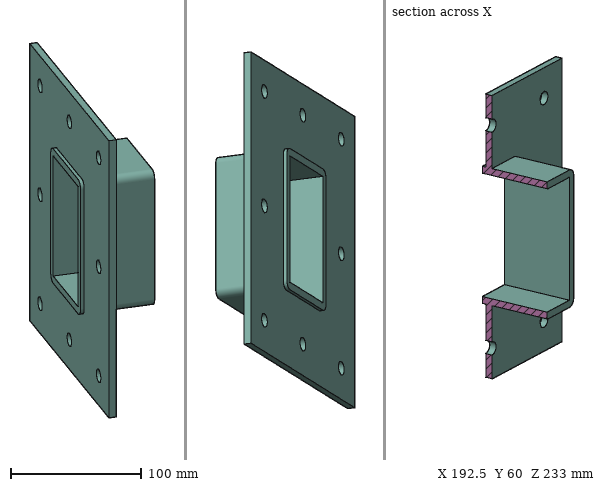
import cadquery as cq

bore_width = 60.5
bore_height = 101.0
tube_wall = 6.0
tube_corner_radius = tube_wall
tube_width = bore_width + 2 * tube_wall
tube_height = bore_height + 2 * tube_wall
tube_length = 60.0
tube_front_projection = 3.0

flange_margin = 60.0
plate_width = tube_width + 2 * flange_margin
plate_height = tube_height + 2 * flange_margin
plate_thickness = 6.0

hole_diameter = 10.5
hole_edge_distance = 25.0
hole_pitch_x = plate_width / 2 - hole_edge_distance
hole_pitch_z = plate_height / 2 - hole_edge_distance

tube_front_y = 0.0
plate_front_y = tube_front_y + tube_front_projection


def block(width, height, length, front_y):
    """Box centred on the Y axis, running from front_y towards +Y."""
    box = cq.Workplane("XY").box(width, length, height, centered=(True, False, True))
    return box.translate((0, front_y, 0))


def make_plate():
    return block(plate_width, plate_height, plate_thickness, plate_front_y)


def make_tube_outside():
    outside = block(tube_width, tube_height, tube_length, tube_front_y)
    return outside.edges("|Y").fillet(tube_corner_radius)


def make_bore():
    return block(bore_width, bore_height, tube_length, tube_front_y)


def make_bolt_holes():
    centres = [
        (column * hole_pitch_x, row * hole_pitch_z)
        for column in (-1, 0, 1)
        for row in (-1, 0, 1)
        if (column, row) != (0, 0)
    ]
    return (
        cq.Workplane("XZ", origin=(0, plate_front_y, 0))
        .pushPoints(centres)
        .circle(hole_diameter / 2)
        .extrude(-plate_thickness)
    )


result = make_plate().union(make_tube_outside()).cut(make_bore()).cut(make_bolt_holes())